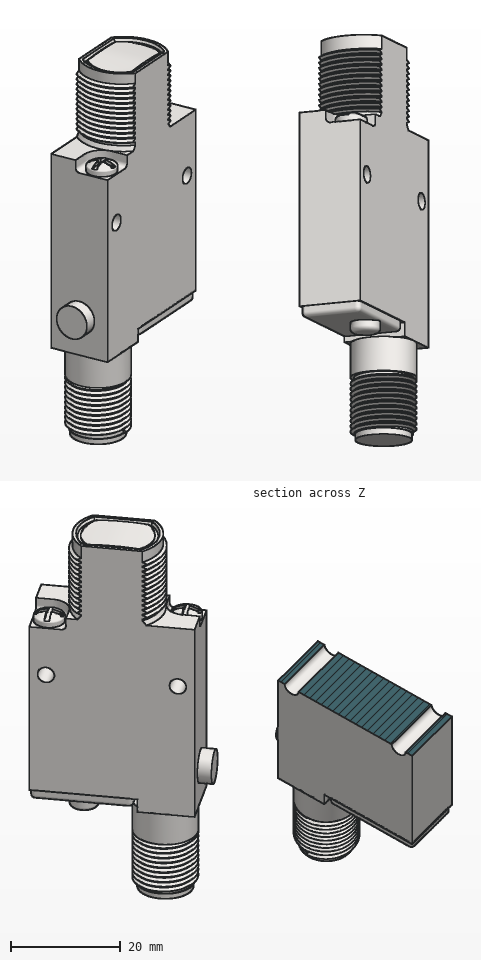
import cadquery as cq
import math


total_height = 72.1
thickness = 12.1
depth = 30.65
front_y = -depth / 2
back_y = depth / 2

housing_top = 56.8
housing_bottom = 20.6
plug_block_bottom = 18.0
plug_block_depth = 10.6
mount_hole_diameter = 3.1
mount_hole_z = housing_top - 12.05
mount_hole_y = back_y - 3.1

nose_thread_length = 12.0
nose_thread_turns = 12
plug_thread_turns = 10
thread_pitch = nose_thread_length / nose_thread_turns
ridge_base = 0.95
ridge_overlap = 0.1

nose_radius = 8.3
nose_crest_radius = 8.95
nose_thread_start = 57.85
neck_radius = 8.8
neck_height = 0.95
recess_radius = 7.65
recess_half_width = 5.4
recess_depth = 0.6
recess_taper = 27
window_radius = 6.8
window_half_width = 4.75
window_edge_height = 0.15
window_crown = 0.35

screw_x = 2.9
screw_y = 12.2
screw_radius = 2.9
screw_rim_height = 1.1
screw_rim_fillet = 0.3
screw_height = 2.1
screw_slot_width = 0.95
screw_slot_floor = 1.2
pocket_radius = 3.7
pocket_depth = 2.4
pocket_fillet = 0.9

plug_y = -8.8
plug_radius = thickness / 2
plug_root_radius = 5.4
plug_tip_radius = 5.2
plug_sleeve_bottom = 11.7
plug_thread_bottom = 1.15
plug_thread_start = 1.5

button_radius = 3.25
button_length = 2.6
button_z = 25.5

plate_height = 1.95
plate_width = 11.7
plate_back_y = back_y - 0.15
plate_front_y = -3.8
plate_corner_fillet = 0.9
plate_edge_fillet = 0.8
plate_screw_radius = 2.75
plate_screw_height = 1.9
plate_screw_fillet = 0.8
plate_screw_x = -2.8
plate_screw_y = back_y - 9.6


def block(width, y_min, y_max, z_min, z_max):
    """Block centred on X, between two Y and two Z limits."""
    return (
        cq.Workplane("XY")
        .box(width, y_max - y_min, z_max - z_min, centered=(True, False, False))
        .translate((0, y_min, z_min))
    )


def cylinder(radius, z_min, z_max, x=0.0, y=0.0):
    """Upright cylinder between two Z limits."""
    return cq.Workplane("XY", origin=(x, y, z_min)).circle(radius).extrude(z_max - z_min)


def flat_sided_outline(radius, half_width, z):
    """Circle cut by two flats parallel to Y."""
    flat_end = math.sqrt(radius**2 - half_width**2)
    return (
        cq.Workplane("XY", origin=(0, 0, z))
        .moveTo(half_width, -flat_end)
        .lineTo(half_width, flat_end)
        .threePointArc((0, radius), (-half_width, flat_end))
        .lineTo(-half_width, -flat_end)
        .threePointArc((0, -radius), (half_width, -flat_end))
        .close()
    )


def thread_ridge(root_radius, crest_radius, turns):
    """Right-hand helical ridge of triangular section, starting at Z = 0 on the +X side."""
    rise = turns * thread_pitch
    inner_radius = root_radius - ridge_overlap

    def helix(radius, z):
        return cq.Wire.makeHelix(thread_pitch, rise, radius).translate(cq.Vector(0, 0, z))

    edges = [
        helix(inner_radius, -ridge_base / 2),
        helix(crest_radius, 0),
        helix(inner_radius, ridge_base / 2),
    ]
    faces = [cq.Face.makeRuledSurface(edges[i - 1], edges[i]) for i in range(3)]
    for corners in ([e.startPoint() for e in edges], [e.endPoint() for e in edges]):
        faces.append(cq.Face.makeFromWires(cq.Wire.makePolygon(corners, close=True)))
    return cq.Workplane(cq.Solid.makeSolid(cq.Shell.makeShell(faces)))


def screw_pocket():
    """Cutter for the front +X corner: rounded inner corner and filleted floor."""
    reach = 2 * depth
    centre = (reach / 2 + screw_x - pocket_radius, -reach / 2 - screw_y + pocket_radius)
    return (
        cq.Workplane("XY", origin=(0, 0, housing_top - pocket_depth))
        .center(*centre)
        .rect(reach, reach)
        .extrude(2 * pocket_depth)
        .edges("|Z and <X and >Y")
        .fillet(pocket_radius)
        .faces("<Z")
        .edges()
        .fillet(pocket_fillet)
    )


def cover_screw():
    """Domed screw with a cross slot, standing on the pocket floor."""
    floor_z = housing_top - pocket_depth
    dome_height = screw_height - screw_rim_height
    dome_radius = (screw_radius**2 + dome_height**2) / (2 * dome_height)
    dome_ball = cq.Workplane("XY").sphere(dome_radius).translate((0, 0, screw_height - dome_radius))
    head = cylinder(screw_radius, 0, screw_height).intersect(dome_ball)
    rim = cq.NearestToPointSelector((0, 0, screw_rim_height))
    head = head.edges(rim).fillet(screw_rim_fillet)
    for slot_x, slot_y in (
        (2 * screw_radius, screw_slot_width),
        (screw_slot_width, 2 * screw_radius),
    ):
        slot = cq.Workplane("XY", origin=(0, 0, screw_slot_floor)).rect(slot_x, slot_y).extrude(screw_height)
        head = head.cut(slot)
    return head.translate((screw_x, -screw_y, floor_z))


def half_turn(shape):
    """Same shape at the opposite corner of the housing."""
    return shape.rotate((0, 0, 0), (0, 0, 1), 180)


def housing():
    body = block(thickness, front_y, back_y, housing_bottom, housing_top)
    body = body.union(block(thickness, front_y, front_y + plug_block_depth, plug_block_bottom, housing_top))
    pocket = screw_pocket()
    body = body.cut(pocket).cut(half_turn(pocket))
    holes = (
        cq.Workplane("YZ")
        .pushPoints([(-mount_hole_y, mount_hole_z), (mount_hole_y, mount_hole_z)])
        .circle(mount_hole_diameter / 2)
        .extrude(thickness, both=True)
    )
    screw = cover_screw()
    return body.cut(holes).union(screw).union(half_turn(screw))


def nose():
    neck = (
        cq.Workplane("XZ")
        .moveTo(0, housing_top)
        .lineTo(neck_radius, housing_top)
        .lineTo(nose_radius, housing_top + neck_height)
        .lineTo(0, housing_top + neck_height)
        .close()
        .revolve(360, (0, 0, 0), (0, 1, 0))
    )
    ridge = thread_ridge(nose_radius, nose_crest_radius, nose_thread_turns)
    body = cylinder(nose_radius, housing_top, total_height)
    body = body.union(ridge.translate((0, 0, nose_thread_start))).union(neck)
    body = body.intersect(block(thickness, -depth, depth, housing_top, total_height))
    recess = (
        flat_sided_outline(recess_radius, recess_half_width, total_height)
        .extrude(-recess_depth, taper=recess_taper)
    )
    return body.cut(recess).union(window())


def window():
    """Lens window, crowned along Y."""
    floor_z = total_height - recess_depth
    edge_z = floor_z + window_edge_height
    crown_radius = (window_radius**2 + window_crown**2) / (2 * window_crown)
    crown = (
        cq.Workplane("YZ", origin=(0, 0, edge_z + window_crown - crown_radius))
        .circle(crown_radius)
        .extrude(thickness, both=True)
    )
    pad = flat_sided_outline(window_radius, window_half_width, floor_z)
    return pad.extrude(window_edge_height + window_crown).intersect(crown)


def plug():
    ridge = thread_ridge(plug_root_radius, plug_radius, plug_thread_turns)
    body = cylinder(plug_radius, plug_sleeve_bottom, plug_block_bottom)
    body = body.union(cylinder(plug_root_radius, plug_thread_bottom, plug_sleeve_bottom))
    body = body.union(ridge.translate((0, 0, plug_thread_start)))
    body = body.union(cylinder(plug_tip_radius, 0, plug_thread_bottom))
    return body.translate((0, plug_y, 0))


def button():
    return (
        cq.Workplane("XZ", origin=(0, front_y, button_z))
        .circle(button_radius)
        .extrude(button_length)
    )


def bottom_plate():
    plate_bottom = housing_bottom - plate_height
    plate = (
        block(plate_width, plate_front_y, plate_back_y, plate_bottom, housing_bottom)
        .edges("|Z")
        .fillet(plate_corner_fillet)
        .faces("<Z")
        .edges()
        .fillet(plate_edge_fillet)
    )
    screw = (
        cylinder(
            plate_screw_radius,
            plate_bottom - plate_screw_height,
            housing_bottom,
            plate_screw_x,
            plate_screw_y,
        )
        .faces("<Z")
        .edges()
        .fillet(plate_screw_fillet)
    )
    return plate.union(screw)


result = housing().union(nose()).union(plug()).union(button()).union(bottom_plate())